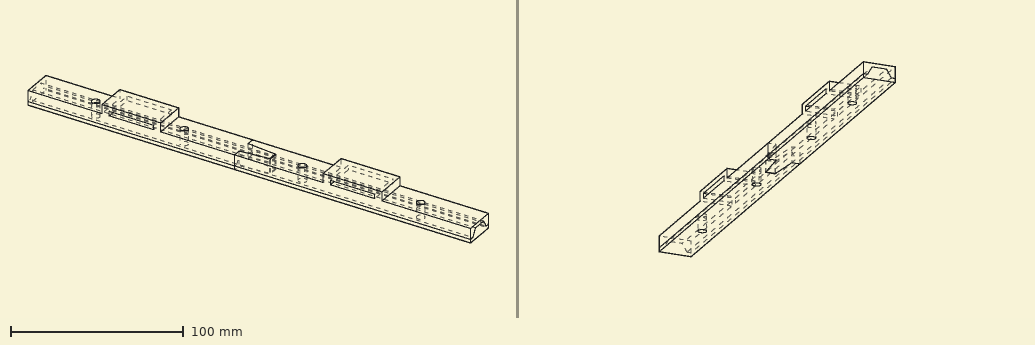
import cadquery as cq

LENGTH = 300.0
WIDTH = 20.0
TOTAL_HEIGHT = 16.0
TRACK_HEIGHT = 10.0

FLANGE_HEIGHT = 2.5
RIDGE_TOP_Z = 7.5
RIDGE_BASE_WIDTH = 15.0
RIDGE_TOP_WIDTH = 9.0

JOINT_X = 140.0
NOTCH_LENGTH = 20.0
TONGUE_TIP_GAP = 0.5
TONGUE_ROOT_WIDTH = 10.0
TONGUE_TIP_WIDTH = 6.0

BRIDGE_LENGTH = 40.0
BRIDGE_STARTS = (50.0, 200.0)
WINDOW_LENGTH = 30.0
BRIDGE_ROOF = 3.0

HOLE_DIAMETER = 5.0
HOLE_POSITIONS = (40.0, 100.0, 180.0, 260.0)


def left_region(tongue_length):
    """Full-height block left of the joint, with a tapered tongue reaching past the joint."""
    root_half = TONGUE_ROOT_WIDTH / 2
    tip_half = TONGUE_TIP_WIDTH / 2
    tip_x = JOINT_X + tongue_length
    outline = [
        (0, -WIDTH / 2),
        (JOINT_X, -WIDTH / 2),
        (JOINT_X, -root_half),
        (tip_x, -tip_half),
        (tip_x, tip_half),
        (JOINT_X, root_half),
        (JOINT_X, WIDTH / 2),
        (0, WIDTH / 2),
    ]
    return cq.Workplane("XY").polyline(outline).close().extrude(TOTAL_HEIGHT)


def full_rail():
    """Unsplit rail: flat flanges with a trapezoidal ridge along the middle."""
    half_profile = [
        (WIDTH / 2, 0),
        (WIDTH / 2, FLANGE_HEIGHT),
        (RIDGE_BASE_WIDTH / 2, FLANGE_HEIGHT),
        (RIDGE_TOP_WIDTH / 2, RIDGE_TOP_Z),
    ]
    mirrored = [(-y, z) for y, z in reversed(half_profile)]
    return cq.Workplane("YZ").polyline(half_profile + mirrored).close().extrude(LENGTH)


def bridge(start_x):
    """Arch that leaves a window open across the width."""
    height = TOTAL_HEIGHT - TRACK_HEIGHT
    block = cq.Workplane("XY").box(BRIDGE_LENGTH, WIDTH, height, centered=(False, True, False))
    window = (
        cq.Workplane("XY")
        .box(WINDOW_LENGTH, WIDTH, height - BRIDGE_ROOF, centered=(False, True, False))
        .translate(((BRIDGE_LENGTH - WINDOW_LENGTH) / 2, 0, 0))
    )
    return block.cut(window).translate((start_x, 0, TRACK_HEIGHT))


def full_carrier(rail):
    """Unsplit carrier: fills the track height over the rail and bears the bridges."""
    carrier = cq.Workplane("XY").box(LENGTH, WIDTH, TRACK_HEIGHT, centered=(False, True, False)).cut(rail)
    for start_x in BRIDGE_STARTS:
        carrier = carrier.union(bridge(start_x))
    return carrier


def screw_holes():
    """Cutters for the row of holes along the middle."""
    centres = [(x, 0) for x in HOLE_POSITIONS]
    return cq.Workplane("XY").pushPoints(centres).circle(HOLE_DIAMETER / 2).extrude(TRACK_HEIGHT)


def left_half(layer):
    """Part of a layer left of the joint, ending in the tongue."""
    return layer.intersect(left_region(NOTCH_LENGTH - TONGUE_TIP_GAP)).solids()


def right_half(layer):
    """Part of a layer right of the joint, with the notch for the tongue."""
    return layer.cut(left_region(NOTCH_LENGTH)).solids()


whole_rail = full_rail()
drilled_rail = whole_rail.cut(screw_holes())
drilled_carrier = full_carrier(whole_rail).cut(screw_holes())

left_rail = left_half(drilled_rail)
right_rail = right_half(drilled_rail)
left_carrier = left_half(drilled_carrier)
right_carrier = right_half(drilled_carrier)

result = cq.Compound.makeCompound(
    [left_rail.val(), right_rail.val(), left_carrier.val(), right_carrier.val()]
)